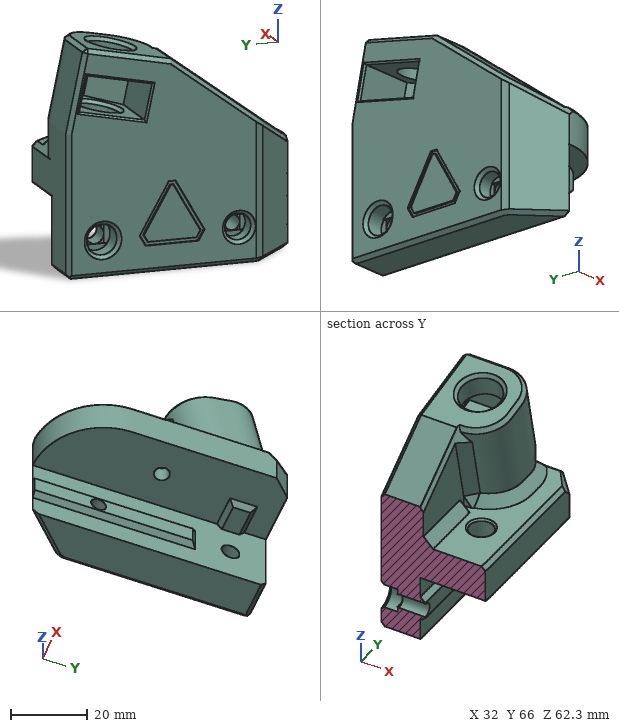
import cadquery as cq
import math


LENGTH = 66
PLATE_THICKNESS = 12.0
WALL_THICKNESS = 13.0
WIDTH = 32.0
HEIGHT = 62.3
PROFILE_SIZE = 20.0
EDGE_CHAMFER = 1.2
REAR_CHAMFER = 1.4

SHELF_BOTTOM = PROFILE_SIZE
SHELF_TOP = 31
SHELF_RADIUS = WIDTH - PLATE_THICKNESS
SHELF_CORNER_CUT = 5.0
SHELF_FACET_LENGTH = 7.05
GUSSET = 3.0

LEAN_ANGLE = 12
LEAN_START = 39.6
TOWER_DEPTH = 25.0
TOWER_RADIUS = 9.95
TOWER_ARC_X = WALL_THICKNESS
TOWER_ARC_DROP = TOWER_RADIUS - math.sqrt(TOWER_RADIUS**2 - GUSSET**2)
ROD_X = 11.35
ROD_FROM_BACK = 11.55
ROD_DIAMETER = 12.1
ROD_DEPTH = 35
ROD_CHAMFER = 1.0
NUT_WIDTH = 18.7
NUT_HEIGHT = 9.9
NUT_ROOF_DEPTH = 7.1
NUT_CHAMFER = 0.5

SCREW_Z = PROFILE_SIZE / 2
BACK_SCREW_Y = LENGTH - PROFILE_SIZE / 2
FRONT_SCREW_Y = 18.0
SHELF_SCREW_Y = 32.55
SHELF_SCREW_X = PLATE_THICKNESS + PROFILE_SIZE / 2
SMALL_HOLE = 4.2
SMALL_HEAD = 7.2
LARGE_HOLE = 5.0
LARGE_HEAD = 8.4
LARGE_HEAD_DEPTH = 6.0
SMALL_HEAD_DEPTH = 5.0
SHELF_HEAD_DEPTH = 6.0
HEAD_CHAMFER = 1.0
SHELF_HEAD_CHAMFER = 0.5
BRIDGE_STEP = 0.2

TAB_HEIGHT = 1.6
TAB_WIDTH = 7.7
TAB_TIP_WIDTH = 4.95
SHELF_TAB_END = 21.25
PLATE_TAB_END = LENGTH - PROFILE_SIZE

TRIANGLE_SIDE = 21.5
TRIANGLE_Y = 36.7
TRIANGLE_BASE_Z = 7.4
TRIANGLE_BASE_CUT = 3.4
TRIANGLE_TOP_CUT = 1.9
GROOVE_WIDTH = 1.0
GROOVE_DEPTH = 0.6

lean_sin = math.sin(math.radians(LEAN_ANGLE))
lean_cos = math.cos(math.radians(LEAN_ANGLE))
lean_tan = lean_sin / lean_cos
top_z = HEIGHT + EDGE_CHAMFER * lean_sin
top_y = LENGTH - (top_z - LEAN_START) * lean_tan
bend_y = top_y - TOWER_DEPTH * lean_cos
bend_z = top_z - TOWER_DEPTH * lean_sin
nose_z = SHELF_TOP - EDGE_CHAMFER
tower_axis = cq.Vector(0, -lean_sin, lean_cos)


def side_profile(start_x, thickness):
    """Upright side outline, extruded along X from start_x."""
    points = [
        (0, 0),
        (LENGTH, 0),
        (LENGTH, LEAN_START),
        (top_y, top_z),
        (bend_y, bend_z),
        (0, nose_z),
    ]
    return cq.Workplane("YZ", origin=(start_x, 0, 0)).polyline(points).close().extrude(thickness)


def tower_plane(depth=0):
    """Plane across the tower, a given depth below its top; local x is X and local y runs toward the back."""
    origin = (0, top_y + depth * lean_sin, top_z - depth * lean_cos)
    return cq.Workplane(cq.Plane(origin=origin, xDir=(1, 0, 0), normal=tower_axis))


def half_space(plane):
    """Large block on the outer side of a plane."""
    return cq.Workplane(plane).rect(2 * LENGTH, 2 * LENGTH).extrude(LENGTH)


def rear_trim():
    """Block above the 45 degree chamfer plane along the rear edge of the shelf."""
    chamfer_plane = cq.Plane(origin=(0, LENGTH, SHELF_TOP - REAR_CHAMFER), xDir=(1, 0, 0), normal=(0, 1, 1))
    return half_space(chamfer_plane)


def nose_plane():
    """Chamfer plane between the 45 degree front corner and the sloping edge of the plate."""
    corner_normal = cq.Vector(-1, -1, 0).normalized()
    slope_normal = cq.Vector(0, nose_z - bend_z, bend_y).normalized()
    normal = (corner_normal + slope_normal).normalized()
    depth = EDGE_CHAMFER * math.sqrt((1 - corner_normal.dot(slope_normal)) / 2)
    return cq.Plane(origin=cq.Vector(PLATE_THICKNESS, 0, nose_z) - normal * depth, normal=normal)


def block_above(z, end_y):
    """Large block above height z that reaches back to end_y."""
    return cq.Workplane("XY").box(WIDTH, end_y, HEIGHT, centered=False).translate((0, 0, z))


def plate():
    """Outer plate with a 45 degree front corner and chamfered outer edges."""
    corner = (
        cq.Workplane("XY")
        .polyline([(0, 0), (PLATE_THICKNESS, 0), (0, PLATE_THICKNESS)])
        .close()
        .extrude(HEIGHT)
    )
    body = side_profile(0, PLATE_THICKNESS).cut(corner)
    corner_face = body.faces(cq.selectors.DirectionMinMaxSelector(cq.Vector(1, 1, 0), False))
    rim = body.faces("<X").add(corner_face).edges("not >X")
    top_corner = (PLATE_THICKNESS / 2, top_y, top_z)
    top_rear_edge = body.edges("|X").edges(cq.selectors.NearestToPointSelector(top_corner))
    body = rim.add(top_rear_edge).chamfer(EDGE_CHAMFER)
    bottom_chamfer = cq.Plane(origin=(0, LENGTH, REAR_CHAMFER), xDir=(1, 0, 0), normal=(0, 1, -1))
    return body.cut(half_space(bottom_chamfer))


def inner_wall():
    """Thicker wall above the shelf with its gussets, chamfered along the sloping edge."""
    wall = side_profile(PLATE_THICKNESS, WALL_THICKNESS - PLATE_THICKNESS)
    wall = wall.intersect(block_above(SHELF_TOP, bend_y + TOWER_RADIUS))
    shelf_gusset = (
        cq.Workplane("XZ")
        .polyline([
            (PLATE_THICKNESS, SHELF_TOP),
            (WALL_THICKNESS + GUSSET, SHELF_TOP),
            (WALL_THICKNESS, SHELF_TOP + GUSSET),
            (PLATE_THICKNESS, SHELF_TOP + GUSSET),
        ])
        .close()
        .extrude(-bend_y)
    )
    tower_gusset = (
        tower_plane()
        .polyline([
            (PLATE_THICKNESS, -TOWER_DEPTH - GUSSET),
            (WALL_THICKNESS, -TOWER_DEPTH - GUSSET),
            (WALL_THICKNESS + GUSSET, -TOWER_DEPTH + TOWER_ARC_DROP),
            (PLATE_THICKNESS, -TOWER_DEPTH + GUSSET),
        ])
        .close()
        .extrude(-HEIGHT)
    )
    tower_gusset = tower_gusset.intersect(block_above(SHELF_TOP, LENGTH))
    wall = wall.union(shelf_gusset).union(tower_gusset)

    cut_size = 4 * EDGE_CHAMFER + GUSSET
    slope_plane = cq.Plane(
        origin=(WALL_THICKNESS - EDGE_CHAMFER, 0, nose_z),
        xDir=(1, 0, 0),
        normal=(0, -bend_y, nose_z - bend_z),
    )
    chamfer_cut = (
        cq.Workplane(slope_plane)
        .polyline([(0, 0), (cut_size, -cut_size), (cut_size, cut_size), (0, cut_size)])
        .close()
        .extrude(LENGTH, both=True)
    )
    return wall.cut(chamfer_cut)


def shelf():
    """Shelf with a round front, a chamfered top edge, and a cut rear corner topped by a sloped facet."""
    body = (
        cq.Workplane("XY", origin=(0, 0, SHELF_BOTTOM))
        .moveTo(PLATE_THICKNESS, 0)
        .radiusArc((WIDTH, SHELF_RADIUS), -SHELF_RADIUS)
        .lineTo(WIDTH, LENGTH)
        .lineTo(PLATE_THICKNESS, LENGTH)
        .close()
        .extrude(SHELF_TOP - SHELF_BOTTOM)
    )
    body = body.faces(">Z").edges("not <X").edges("not >Y").chamfer(EDGE_CHAMFER)
    body = body.cut(rear_trim())
    corner_x = WIDTH - SHELF_CORNER_CUT
    corner_cut = (
        cq.Workplane("XY", origin=(0, 0, SHELF_BOTTOM))
        .polyline([(corner_x, LENGTH), (WIDTH, LENGTH), (WIDTH, LENGTH - SHELF_CORNER_CUT)])
        .close()
        .extrude(SHELF_TOP)
    )
    chamfer_direction = cq.Vector(0, -1, 1)
    facet_direction = cq.Vector(SHELF_CORNER_CUT, -SHELF_FACET_LENGTH, 0)
    facet_plane = cq.Plane(
        origin=(corner_x, LENGTH, SHELF_TOP - REAR_CHAMFER),
        xDir=facet_direction,
        normal=facet_direction.cross(chamfer_direction) * -1,
    )
    return body.cut(corner_cut).cut(half_space(facet_plane)).cut(half_space(nose_plane()))


def tower_outline(plane, front, back, radius):
    """Outline with a straight side inside the plate and two rounded corners facing +X."""
    start_x = PLATE_THICKNESS / 2
    end_x = TOWER_ARC_X + radius
    return (
        plane.moveTo(start_x, front)
        .lineTo(TOWER_ARC_X, front)
        .radiusArc((end_x, front + radius), -radius)
        .lineTo(end_x, back - radius)
        .radiusArc((TOWER_ARC_X, back), -radius)
        .lineTo(start_x, back)
        .close()
    )


def tower():
    """Leaning tower with a chamfered rim, upright at the back below the bend."""
    leaning = tower_outline(tower_plane(), -TOWER_DEPTH, 0, TOWER_RADIUS).extrude(-HEIGHT)
    rim = leaning.edges(cq.selectors.DirectionMinMaxSelector(tower_axis, True)).edges("not <X")
    leaning = rim.chamfer(EDGE_CHAMFER)
    upright_base = cq.Workplane("XY", origin=(0, 0, SHELF_BOTTOM))
    upright = tower_outline(upright_base, 0, LENGTH, TOWER_RADIUS).extrude(HEIGHT)
    return leaning.intersect(upright)


def flare_corner(tower_front):
    """Facet that joins the flare, the gusset on the wall and the gusset between wall and tower."""
    start_y = tower_front - GUSSET / lean_cos
    block_width = WALL_THICKNESS + GUSSET - PLATE_THICKNESS
    block = cq.Workplane("XY").box(block_width, 2 * GUSSET, GUSSET, centered=False)
    block = block.translate((PLATE_THICKNESS, start_y, SHELF_TOP))
    along_gusset = cq.Vector(GUSSET, GUSSET + TOWER_ARC_DROP, 0)
    down_flare = cq.Vector(0, -1, -1)
    facet = cq.Plane(
        origin=(WALL_THICKNESS, start_y, SHELF_TOP + GUSSET),
        xDir=along_gusset,
        normal=down_flare.cross(along_gusset),
    )
    return block.cut(half_space(facet))


def tower_flare():
    """45 degree flare where the tower meets the shelf, trimmed by the rear chamfer of the shelf."""
    base = cq.Workplane("XY", origin=(0, 0, SHELF_TOP))
    base_front = bend_y + (bend_z - SHELF_TOP - GUSSET) * lean_tan
    flare = tower_outline(base, base_front - GUSSET, LENGTH + GUSSET, TOWER_RADIUS + GUSSET)
    flare = flare.extrude(GUSSET, taper=45)
    return flare.union(flare_corner(base_front)).cut(rear_trim())


def slot_tab(length):
    """Tab along +X with sloped sides and a sloped far end, raised along +Z."""
    slope = (TAB_WIDTH - TAB_TIP_WIDTH) / 2
    tab = (
        cq.Workplane("YZ")
        .polyline([
            (-TAB_WIDTH / 2, 0),
            (TAB_WIDTH / 2, 0),
            (TAB_TIP_WIDTH / 2, TAB_HEIGHT),
            (-TAB_TIP_WIDTH / 2, TAB_HEIGHT),
        ])
        .close()
        .extrude(length)
    )
    end_cut = (
        cq.Workplane("XZ")
        .polyline([(length, 0), (length, TAB_HEIGHT), (length - slope, TAB_HEIGHT)])
        .close()
        .extrude(TAB_WIDTH, both=True)
    )
    return tab.cut(end_cut)


def shelf_tab():
    """Tab under the shelf that runs along X."""
    tab = slot_tab(SHELF_TAB_END - PLATE_THICKNESS)
    return tab.rotate((0, 0, 0), (1, 0, 0), 180).translate((PLATE_THICKNESS, BACK_SCREW_Y, SHELF_BOTTOM))


def plate_tab():
    """Tab on the inner side of the plate that runs along Y."""
    tab = slot_tab(PLATE_TAB_END)
    tab = tab.rotate((0, 0, 0), (1, 0, 0), 90).rotate((0, 0, 0), (0, 0, 1), 90)
    return tab.translate((PLATE_THICKNESS, 0, SCREW_Z))


def chamfered_bore(plane, diameter, depth, chamfer):
    """Blind bore below a plane, with a chamfered mouth."""
    bore = plane.circle(diameter / 2).extrude(-depth)
    mouth = plane.circle(diameter / 2 + chamfer).extrude(-chamfer, taper=45)
    return bore.union(mouth)


def rod_bore():
    """Blind bore for the rod and the hexagonal nut pocket that crosses it."""
    top = tower_plane().center(ROD_X, -ROD_FROM_BACK)
    floor_depth = NUT_ROOF_DEPTH + NUT_HEIGHT
    floor = tower_plane(floor_depth).center(ROD_X, -ROD_FROM_BACK)
    upper = chamfered_bore(top, ROD_DIAMETER, floor_depth, ROD_CHAMFER)
    lower = chamfered_bore(floor, ROD_DIAMETER, ROD_DEPTH - floor_depth, ROD_CHAMFER)

    half_width = NUT_WIDTH / 2
    nut_side = NUT_WIDTH / math.sqrt(3)
    pocket = (
        floor.polyline([
            (-ROD_X, -half_width),
            (nut_side / 2, -half_width),
            (nut_side, 0),
            (nut_side / 2, half_width),
            (-ROD_X, half_width),
        ])
        .close()
        .extrude(NUT_HEIGHT)
    )
    mouth_plane = cq.Plane(
        origin=(0, top_y - ROD_FROM_BACK * lean_cos, top_z - ROD_FROM_BACK * lean_sin),
        xDir=(0, lean_cos, lean_sin),
        normal=(1, 0, 0),
    )
    mouth = (
        cq.Workplane(mouth_plane)
        .center(0, -NUT_ROOF_DEPTH - NUT_HEIGHT / 2)
        .rect(NUT_WIDTH + 2 * NUT_CHAMFER, NUT_HEIGHT + 2 * NUT_CHAMFER)
        .extrude(NUT_CHAMFER, taper=45)
    )
    return upper.union(lower).union(pocket).union(mouth)


def plate_screw(y, hole, head, head_depth):
    """Counterbored hole through the plate; its floor steps down to a square before the round hole."""
    outer = cq.Workplane("YZ", origin=(0, y, SCREW_Z))
    floor = cq.Workplane("YZ", origin=(head_depth, y, SCREW_Z))
    counterbore = outer.circle(head / 2).extrude(head_depth)
    mouth = outer.circle(head / 2 + HEAD_CHAMFER).extrude(HEAD_CHAMFER, taper=45)
    slot = floor.rect(head, hole).extrude(BRIDGE_STEP).intersect(floor.circle(head / 2).extrude(BRIDGE_STEP))
    square = floor.rect(hole, hole).extrude(2 * BRIDGE_STEP)
    through = outer.circle(hole / 2).extrude(WIDTH)
    return counterbore.union(mouth).union(slot).union(square).union(through)


def shelf_screw():
    """Counterbored vertical hole through the shelf."""
    top = cq.Workplane("XY", origin=(SHELF_SCREW_X, SHELF_SCREW_Y, SHELF_TOP))
    counterbore = chamfered_bore(top, SMALL_HEAD, SHELF_HEAD_DEPTH, SHELF_HEAD_CHAMFER)
    through = top.circle(SMALL_HOLE / 2).extrude(SHELF_BOTTOM - SHELF_TOP)
    return counterbore.union(through)


def triangle_groove():
    """Shallow groove in the outer face of the plate, along an equilateral triangle with cut corners."""
    height_ratio = math.sqrt(3) / 2
    base_half = TRIANGLE_SIDE / 2 - TRIANGLE_BASE_CUT
    side_half = (TRIANGLE_SIDE - TRIANGLE_BASE_CUT) / 2
    side_z = TRIANGLE_BASE_CUT * height_ratio
    top_half = TRIANGLE_TOP_CUT / 2
    top = (TRIANGLE_SIDE - TRIANGLE_TOP_CUT) * height_ratio
    outline = (
        cq.Workplane("YZ", origin=(0, TRIANGLE_Y, TRIANGLE_BASE_Z))
        .polyline([
            (-base_half, 0),
            (base_half, 0),
            (side_half, side_z),
            (top_half, top),
            (-top_half, top),
            (-side_half, side_z),
        ])
        .close()
    )
    triangle = outline.extrude(GROOVE_DEPTH)
    island = outline.toPending().offset2D(-GROOVE_WIDTH).extrude(GROOVE_DEPTH)
    return triangle.cut(island)


result = plate()
for added in (shelf(), inner_wall(), tower(), tower_flare(), shelf_tab(), plate_tab()):
    result = result.union(added)
for removed in (
    rod_bore(),
    plate_screw(BACK_SCREW_Y, LARGE_HOLE, LARGE_HEAD, LARGE_HEAD_DEPTH),
    plate_screw(FRONT_SCREW_Y, SMALL_HOLE, SMALL_HEAD, SMALL_HEAD_DEPTH),
    shelf_screw(),
    triangle_groove(),
):
    result = result.cut(removed)